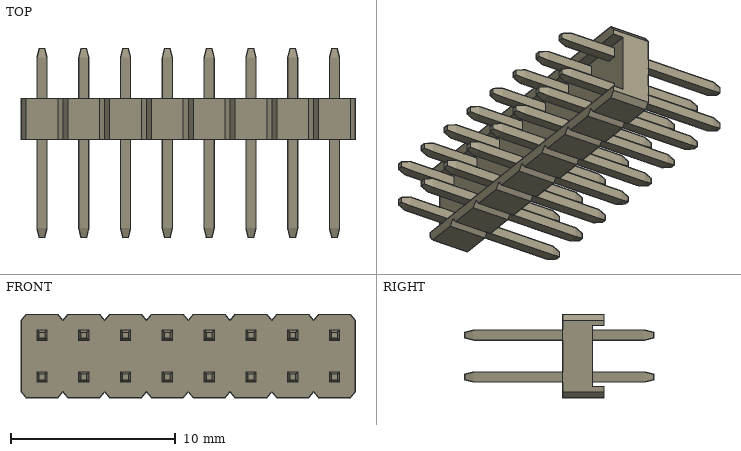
import cadquery as cq

columns = 8
rows = 2
length = 20.32
pitch = length / columns
height = rows * pitch

body_depth = 2.52
notch_half_width = 0.3
notch_depth = 0.37
channel_depth = 0.7
flange_thickness = 0.7

pin_size = 0.63
tip_size = 0.35
tip_length = 0.57
front_reach = 5.95
pin_length = 11.5


def make_body():
    """Row of cells with bevelled corners, leaving V notches between neighbours."""
    shoulder_x = pitch / 2 - notch_half_width
    shoulder_z = height / 2 - notch_depth
    cell_outline = [
        (-shoulder_x, -height / 2),
        (shoulder_x, -height / 2),
        (pitch / 2, -shoulder_z),
        (pitch / 2, shoulder_z),
        (shoulder_x, height / 2),
        (-shoulder_x, height / 2),
        (-pitch / 2, shoulder_z),
        (-pitch / 2, -shoulder_z),
    ]
    cell = cq.Workplane("XZ").polyline(cell_outline).close().extrude(-body_depth)
    body = cell.translate((column_x(0), 0, 0))
    for column in range(1, columns):
        body = body.union(cell.translate((column_x(column), 0, 0)))
    return body.clean()


def make_channel():
    """Full-length channel in the back face, between the top and bottom flanges."""
    return cq.Workplane("XY").box(length, channel_depth, height - 2 * flange_thickness).translate(
        (0, body_depth - channel_depth / 2, 0)
    )


def make_pin():
    """Square pin along Y, centred on X = Z = 0, tapered at both ends."""
    shank_length = pin_length - 2 * tip_length
    shank_start = tip_length - front_reach
    shank = cq.Workplane("XZ", origin=(0, shank_start, 0)).rect(pin_size, pin_size).extrude(-shank_length)
    front_tip = make_tip(shank_start, tip_length)
    back_tip = make_tip(shank_start + shank_length, -tip_length)
    return shank.union(front_tip).union(back_tip)


def make_tip(base_y, offset):
    """Tapered tip from the shank end at base_y; a positive offset points it towards -Y."""
    return (
        cq.Workplane("XZ", origin=(0, base_y, 0))
        .rect(pin_size, pin_size)
        .workplane(offset=offset)
        .rect(tip_size, tip_size)
        .loft(ruled=True)
    )


def column_x(column):
    return (column - (columns - 1) / 2) * pitch


def row_z(row):
    return (row - (rows - 1) / 2) * pitch


result = make_body().cut(make_channel())
pin = make_pin()
for column in range(columns):
    for row in range(rows):
        result = result.union(pin.translate((column_x(column), 0, row_z(row))))